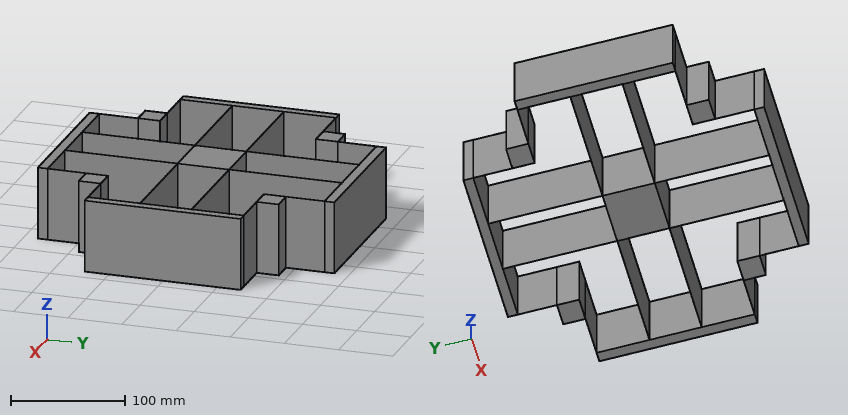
import cadquery as cq

overall = 273.8
height = 66.5
arm_width = 144.0
plate_thickness = 9.0
post_size = 20.3
sheet_thickness = 0.15

arm_half = arm_width / 2
core_size = 47.5
core_half = core_size / 2
post_outer = arm_half + post_size
plate_inner = overall / 2 - plate_thickness


def block(x_min, x_max, y_min, y_max):
    """Full-height upright block between the given X and Y limits."""
    return cq.Workplane("XY").box(
        x_max - x_min, y_max - y_min, height, centered=False
    ).translate((x_min, y_min, -height / 2))


def turned(body, quarter_turns):
    """Body turned about the Z axis by a number of quarter turns."""
    return body.rotate((0, 0, 0), (0, 0, 1), 90 * quarter_turns)


def make_core():
    """Central block with a pair of thin partitions running out to every plate."""
    core = block(-core_half, core_half, -core_half, core_half)
    for low_edge in (-core_half, core_half - sheet_thickness):
        high_edge = low_edge + sheet_thickness
        core = core.union(block(-plate_inner, plate_inner, low_edge, high_edge))
        core = core.union(block(low_edge, high_edge, -plate_inner, plate_inner))
    return core


def make_end_plate(quarter_turns):
    """Plate closing one arm, with a thin side wall from each end back to the arm corner."""
    plate = block(plate_inner, overall / 2, -arm_half, arm_half)
    for low_edge in (-arm_half, arm_half - sheet_thickness):
        high_edge = low_edge + sheet_thickness
        plate = plate.union(block(arm_half, plate_inner, low_edge, high_edge))
    return turned(plate, quarter_turns)


def make_post(quarter_turns):
    """Square post in the inside corner between two arms."""
    post = block(arm_half, post_outer, arm_half, post_outer)
    return turned(post, quarter_turns)


core = make_core()
end_plates = [make_end_plate(turn) for turn in range(4)]
posts = [make_post(turn) for turn in range(4)]

result = cq.Compound.makeCompound(
    [
        core.val(),
        *[plate.val() for plate in end_plates],
        *[post.val() for post in posts],
    ]
)